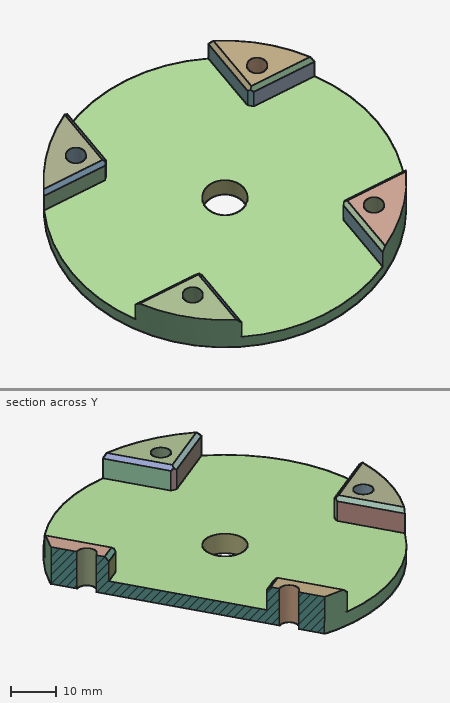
import cadquery as cq

plate_diameter = 80.0
plate_thickness = 3.5

boss_diameter = 18.0
boss_height = 1.5
bore_diameter = 10.0

pad_height = 6.0
pad_inner_offset = 18.5
pad_chamfer = 1.0

pad_hole_diameter = 4.5
pad_hole_offset = 23.75

pad_top = plate_thickness + pad_height
overall_height = boss_height + pad_top
plate_radius = plate_diameter / 2
quadrants = [(1, 1), (-1, 1), (-1, -1), (1, -1)]


def make_plate():
    """Disc with its underside at Z = 0 and the boss hanging below it."""
    disc = cq.Workplane("XY").circle(plate_radius).extrude(plate_thickness)
    boss = cq.Workplane("XY").circle(boss_diameter / 2).extrude(-boss_height)
    return disc.union(boss)


def make_pad(x_sign, y_sign):
    """Chamfered square block in one quadrant, trimmed to the plate rim."""
    block_side = plate_radius
    block_centre = pad_inner_offset + block_side / 2
    block = (
        cq.Workplane("XY")
        .center(x_sign * block_centre, y_sign * block_centre)
        .rect(block_side, block_side)
        .extrude(pad_top)
    )
    inner_x_wall = "<X" if x_sign > 0 else ">X"
    inner_y_wall = "<Y" if y_sign > 0 else ">Y"
    inner_upright = f"(|Z and ({inner_x_wall})) and (|Z and ({inner_y_wall}))"
    inner_top_edges = f"(>Z and ({inner_x_wall})) or (>Z and ({inner_y_wall}))"
    top_chamfered = block.edges(inner_top_edges).chamfer(pad_chamfer)
    upright_chamfered = block.edges(inner_upright).chamfer(pad_chamfer)
    rim = cq.Workplane("XY").circle(plate_radius).extrude(pad_top)
    return top_chamfered.intersect(upright_chamfered).intersect(rim)


def through_holes(centres, diameter):
    """Cutting cylinders spanning the full height of the part."""
    return (
        cq.Workplane("XY", origin=(0, 0, -boss_height))
        .pushPoints(centres)
        .circle(diameter / 2)
        .extrude(overall_height)
    )


result = make_plate()
for x_sign, y_sign in quadrants:
    result = result.union(make_pad(x_sign, y_sign))

pad_hole_centres = [(x_sign * pad_hole_offset, y_sign * pad_hole_offset) for x_sign, y_sign in quadrants]
result = result.cut(through_holes([(0, 0)], bore_diameter))
result = result.cut(through_holes(pad_hole_centres, pad_hole_diameter))